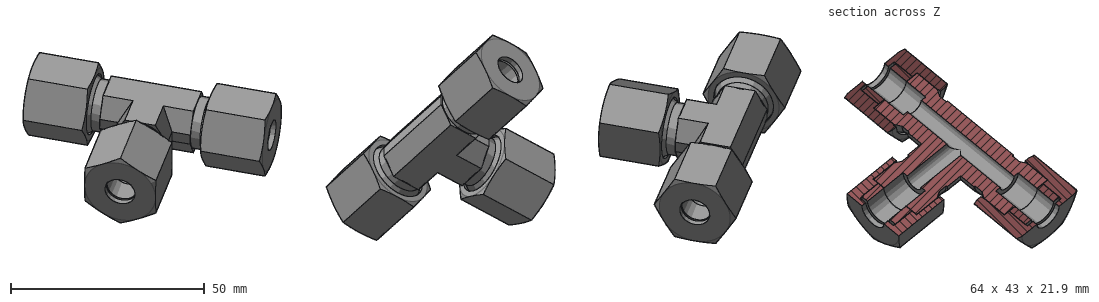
import cadquery as cq
import math


port_reach = 32.0
nut_length = 16.5
nut_across_flats = 19.0
nut_bevel_angle = 15.0
lip_thickness = 1.5
ring_gap = 0.6

tube_diameter = 8.0
flow_radius = 2.5
tube_stop = 17.0

block_reach = 12.1
block_half_height = 7.05
block_half_width = 7.2

neck_radius = 6.85
neck_end = 14.6
neck_flare_angle = 30.0
thread_radius = 8.0
stem_end = 24.0
ring_radius = 6.1

tube_radius = tube_diameter / 2
nut_inner_face = port_reach - nut_length
lip_inner_face = port_reach - lip_thickness
ring_outer_face = lip_inner_face - ring_gap
hexagon_flat_to_corner = 1 / math.cos(math.pi / 6)
nut_face_radius = nut_across_flats / 2
nut_corner_radius = nut_face_radius * hexagon_flat_to_corner
thread_start = neck_end + (thread_radius - neck_radius) / math.tan(math.radians(neck_flare_angle))

ports = [
    {"heading": 0, "nut_roll": 0},
    {"heading": 180, "nut_roll": 0},
    {"heading": -90, "nut_roll": 90},
]


def cylinder(start, end, radius):
    """Solid cylinder on the X axis between two X positions."""
    return cq.Workplane("YZ").workplane(offset=start).circle(radius).extrude(end - start)


def turned(profile):
    """Solid of revolution about X from (x, radius) points."""
    return cq.Workplane("XY").polyline(profile).close().revolve(360, (0, 0), (1, 0))


def aim(body, heading):
    """Turn a body modelled along +X to face its port direction."""
    return body.rotate((0, 0, 0), (0, 0, 1), heading)


def forged_arm():
    """Hexagonal bar with flats above and below and its side corners cut off flat."""
    bar_diameter = 2 * block_half_height * hexagon_flat_to_corner
    bar = cq.Workplane("YZ").polygon(6, bar_diameter).extrude(block_reach)
    side_limit = cq.Workplane("XY").box(2 * block_reach, 2 * block_half_width, bar_diameter)
    return bar.intersect(side_limit)


def threaded_stem():
    """Round neck that flares out to the thread diameter."""
    return turned([
        (0, 0),
        (0, neck_radius),
        (neck_end, neck_radius),
        (thread_start, thread_radius),
        (stem_end, thread_radius),
        (stem_end, 0),
    ])


def make_tee():
    """Forged block with three threaded stems, bored through all ports."""
    tee = cq.Workplane("XY")
    for port in ports:
        tee = tee.union(aim(forged_arm(), port["heading"]))
    for port in ports:
        tee = tee.union(aim(threaded_stem(), port["heading"]))
    for port in ports:
        passage = cylinder(0, stem_end, flow_radius)
        tube_socket = cylinder(tube_stop, stem_end, tube_radius)
        tee = tee.cut(aim(passage.union(tube_socket), port["heading"]))
    return tee


def make_nut(port):
    """Union nut that screws over the stem and closes on the ring."""
    hexagon = (
        cq.Workplane("YZ")
        .workplane(offset=nut_inner_face)
        .polygon(6, 2 * nut_corner_radius)
        .extrude(nut_length)
    )
    bevel_length = (nut_corner_radius - nut_face_radius) * math.tan(math.radians(nut_bevel_angle))
    bevel_limit = turned([
        (nut_inner_face, 0),
        (nut_inner_face, nut_face_radius),
        (nut_inner_face + bevel_length, nut_corner_radius),
        (port_reach - bevel_length, nut_corner_radius),
        (port_reach, nut_face_radius),
        (port_reach, 0),
    ])
    bore = (
        cylinder(nut_inner_face, stem_end, thread_radius)
        .union(cylinder(stem_end, lip_inner_face, ring_radius))
        .union(cylinder(lip_inner_face, port_reach, tube_radius))
    )
    nut = hexagon.intersect(bevel_limit).cut(bore)
    rolled_nut = nut.rotate((0, 0, 0), (1, 0, 0), port["nut_roll"])
    return aim(rolled_nut, port["heading"])


def make_ring(port):
    """Plain clamping ring between the stem end and the nut end wall."""
    sleeve = cylinder(stem_end, ring_outer_face, ring_radius)
    tube_hole = cylinder(stem_end, ring_outer_face, tube_radius)
    return aim(sleeve.cut(tube_hole), port["heading"])


tee = make_tee()
nuts = [make_nut(port) for port in ports]
rings = [make_ring(port) for port in ports]

bodies = [tee, *nuts, *rings]

result = cq.Compound.makeCompound([body.solids().val() for body in bodies])